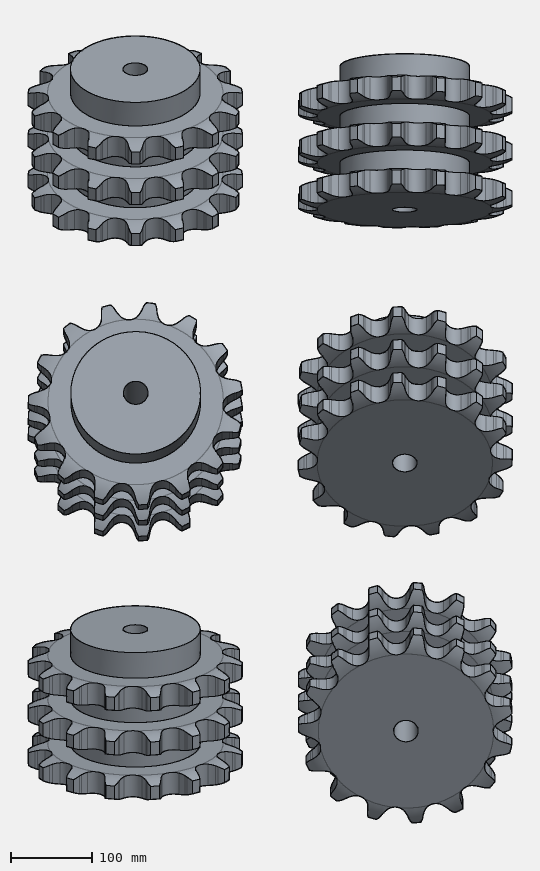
import cadquery as cq
import math

tooth_count = 15
chain_pitch = 50.7
roller_diameter = 29.0
tip_diameter = 264.8
flat_diameter = 216.2
row_count = 3
row_width = 28.8
row_spacing = 58.7
total_height = 180.0
hub_diameter = 160.0
bore_diameter = 30.0

flank_center_factor = 0.8
topping_center_factor = 1.4
half_tooth_angle = math.radians(180 / tooth_count)
pitch_radius = chain_pitch / (2 * math.sin(half_tooth_angle))
seat_radius = roller_diameter / 2
seat_end_angle = math.radians(35 + 60 / tooth_count)
flank_angle = math.radians(18 - 56 / tooth_count)
straight_angle = math.radians(17 - 64 / tooth_count)
flank_center_offset = flank_center_factor * roller_diameter
topping_center_offset = topping_center_factor * roller_diameter
straight_length = (topping_center_offset * math.sin(straight_angle)
                   - flank_center_offset * math.sin(flank_angle))

flat_radius = flat_diameter / 2
tip_radius = tip_diameter / 2
rim_arc_factor = 1.063
rim_arc_radius = rim_arc_factor * chain_pitch


def polar(center, radius, angle):
    """Point at a radius and angle around a center."""
    return (center[0] + radius * math.cos(angle), center[1] + radius * math.sin(angle))


def angle_between(start, end):
    """Direction of the line from start to end."""
    return math.atan2(end[1] - start[1], end[0] - start[0])


def half_gap_points():
    """Points from the gap bottom, up its right flank, to the pointed end of the uncropped tooth."""
    seat_center = (0, pitch_radius)
    bottom = polar(seat_center, seat_radius, -math.pi / 2)
    seat_end = polar(seat_center, seat_radius, -seat_end_angle)
    seat_middle = polar(seat_center, seat_radius, -(math.pi / 2 + seat_end_angle) / 2)

    flank_center = polar(seat_center, flank_center_offset, math.pi - seat_end_angle)
    flank_radius = flank_center_offset + seat_radius
    flank_end_angle = flank_angle - seat_end_angle
    flank_middle = polar(flank_center, flank_radius, flank_angle / 2 - seat_end_angle)
    flank_end = polar(flank_center, flank_radius, flank_end_angle)

    straight_end = polar(flank_end, straight_length, flank_end_angle + math.pi / 2)

    topping_center = polar(seat_center, topping_center_offset, -half_tooth_angle)
    topping_radius = math.dist(topping_center, straight_end)
    center_past_tooth = topping_center_offset - chain_pitch / 2
    apex_height = math.sqrt(topping_radius ** 2 - center_past_tooth ** 2)
    apex_radius = pitch_radius * math.cos(half_tooth_angle) + apex_height
    apex = polar((0, 0), apex_radius, math.pi / 2 - half_tooth_angle)
    start_angle = angle_between(topping_center, straight_end) % (2 * math.pi)
    end_angle = angle_between(topping_center, apex) % (2 * math.pi)
    topping_middle = polar(topping_center, topping_radius, (start_angle + end_angle) / 2)

    return bottom, seat_middle, seat_end, flank_middle, flank_end, straight_end, topping_middle, apex


def mirrored(point):
    return (-point[0], point[1])


def gap_cutter():
    """Solid that removes the space between two teeth of one row."""
    (bottom, seat_middle, seat_end, flank_middle, flank_end,
     straight_end, topping_middle, apex) = half_gap_points()
    return (
        cq.Workplane("XY")
        .moveTo(*mirrored(apex))
        .threePointArc(mirrored(topping_middle), mirrored(straight_end))
        .lineTo(*mirrored(flank_end))
        .threePointArc(mirrored(flank_middle), mirrored(seat_end))
        .threePointArc(mirrored(seat_middle), bottom)
        .threePointArc(seat_middle, seat_end)
        .threePointArc(flank_middle, flank_end)
        .lineTo(*straight_end)
        .threePointArc(topping_middle, apex)
        .close()
        .extrude(row_width)
    )


def rim_drop(distance):
    """Axial drop of the rim arc at a radial distance outside the flat face."""
    return rim_arc_radius - math.sqrt(rim_arc_radius ** 2 - distance ** 2)


def row_blank():
    """Disc whose faces curve inward from the edge of the flat to the tip."""
    rim_depth = tip_radius - flat_radius
    middle_radius = flat_radius + rim_depth / 2
    middle_drop = rim_drop(rim_depth / 2)
    tip_drop = rim_drop(rim_depth)
    return (
        cq.Workplane("XZ")
        .lineTo(flat_radius, 0)
        .threePointArc((middle_radius, middle_drop), (tip_radius, tip_drop))
        .lineTo(tip_radius, row_width - tip_drop)
        .threePointArc((middle_radius, row_width - middle_drop), (flat_radius, row_width))
        .lineTo(0, row_width)
        .close()
        .revolve(360, (0, 0, 0), (0, 1, 0))
    )


def toothed_row():
    """One complete toothed disc, with a gap centered on +Y."""
    row = row_blank()
    cutter = gap_cutter()
    for index in range(tooth_count):
        row = row.cut(cutter.rotate((0, 0, 0), (0, 0, 1), index * 360 / tooth_count))
    return row


sprocket = cq.Workplane("XY").circle(hub_diameter / 2).extrude(total_height)
sprocket_row = toothed_row()
for index in range(row_count):
    sprocket = sprocket.union(sprocket_row.translate((0, 0, index * row_spacing)))

bore = cq.Workplane("XY").circle(bore_diameter / 2).extrude(total_height)
result = sprocket.cut(bore)